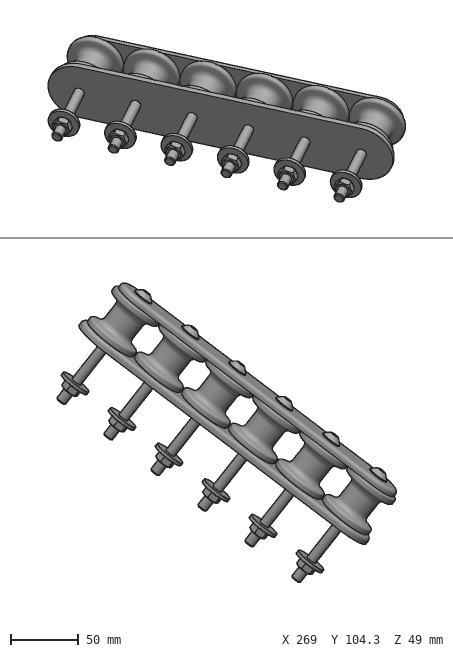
import cadquery as cq
import math

roller_count = 6
overall_length = 269.0

base_plate_height = 49.0
base_plate_thickness = 6.0
cover_plate_height = 38.0
cover_plate_thickness = 5.0
plate_edge_round = 3.0

roller_length = 34.5
roller_clearance = 0.5
flange_diameter = 43.0
hub_diameter = 26.0
flange_width = 6.5
flange_outer_round = 1.3
flange_inner_round = 2.0
flange_taper = 15.0
hub_fillet = 4.8

bolt_diameter = 8.0
bolt_projection = 53.5
bolt_end_chamfer = 0.8
head_diameter = 15.5
head_rim_height = 0.8
head_top_diameter = 6.5
head_height = 4.8
head_bulge = 0.3
washer_diameter = 24.0
washer_thickness = 2.7
washer_offset = 34.7
nut_across_flats = 13.0
nut_thickness = 6.5
nut_seat_diameter = 12.0
nut_end_diameter = 11.3
nut_bevel_angle = 30.0
nut_rotation = 10.0

pitch = (overall_length - base_plate_height) / (roller_count - 1)
roller_start = base_plate_thickness
cover_start = roller_start + roller_length + roller_clearance
head_start = cover_start + cover_plate_thickness


def section_at(y):
    """Sketch plane facing +Y, with sketch x along -X and sketch y along +Z."""
    return cq.Workplane("XZ", origin=(0, y, 0)).transformed(rotate=(0, 180, 0))


def revolve_about_bolt(profile):
    """Turn a closed (radius, y) profile around the Y axis."""
    return profile.close().revolve(360, (0, 0, 0), (0, 1, 0))


def rounded_plate(y, height, thickness):
    """Plate whose end arcs are centred on the outermost bolts, rounded on its +Y edge."""
    length = pitch * (roller_count - 1) + height
    plate = section_at(y).slot2D(length, height).extrude(thickness)
    return plate.faces(">Y").edges().fillet(plate_edge_round)


def roller():
    """Spool with two flanges blending into a narrower hub."""
    flange_radius = flange_diameter / 2
    hub_radius = hub_diameter / 2
    end_face = roller_length / 2
    taper = math.radians(flange_taper)

    taper_inner_radius = hub_radius + hub_fillet * (1 - math.sin(taper))
    taper_inner_y = end_face - flange_width
    taper_outer_radius = flange_radius - flange_inner_round * (1 - math.sin(taper))
    taper_outer_y = taper_inner_y + (taper_outer_radius - taper_inner_radius) * math.tan(taper)
    fillet_start_y = taper_inner_y - hub_fillet * math.cos(taper)
    rim_start_y = taper_outer_y + flange_inner_round * math.cos(taper)

    spool = (
        cq.Workplane("XY")
        .moveTo(0, 0)
        .lineTo(hub_radius, 0)
        .lineTo(hub_radius, fillet_start_y)
        .radiusArc((taper_inner_radius, taper_inner_y), hub_fillet)
        .lineTo(taper_outer_radius, taper_outer_y)
        .radiusArc((flange_radius, rim_start_y), -flange_inner_round)
        .lineTo(flange_radius, end_face - flange_outer_round)
        .radiusArc((flange_radius - flange_outer_round, end_face), -flange_outer_round)
        .lineTo(0, end_face)
    )
    half = revolve_about_bolt(spool)
    whole = half.union(half.mirror("XZ"))
    return whole.translate((0, roller_start + roller_length / 2, 0))


def bolt():
    """Shank with a chamfered free end and a domed head seated on the cover plate."""
    shank = section_at(-bolt_projection).circle(bolt_diameter / 2).extrude(bolt_projection + head_start)
    shank = shank.faces("<Y").chamfer(bolt_end_chamfer)
    rim_radius = head_diameter / 2
    top_radius = head_top_diameter / 2
    rim_y = head_start + head_rim_height
    top_y = head_start + head_height
    head = (
        cq.Workplane("XY")
        .moveTo(0, head_start)
        .lineTo(rim_radius, head_start)
        .lineTo(rim_radius, rim_y)
        .sagittaArc((top_radius, top_y), -head_bulge)
        .lineTo(0, top_y)
    )
    return shank.union(revolve_about_bolt(head))


def washer():
    """Flat disc between the nut and the base plate."""
    start = -washer_offset - washer_thickness
    return section_at(start).circle(washer_diameter / 2).extrude(washer_thickness)


def nut():
    """Hexagon nut whose corners are cut back by a cone at both ends."""
    corner_radius = nut_across_flats / math.sqrt(3)
    seat_radius = nut_seat_diameter / 2
    end_radius = nut_end_diameter / 2
    bevel_slope = math.tan(math.radians(nut_bevel_angle))
    seat_bevel_height = (corner_radius - seat_radius) * bevel_slope
    end_bevel_height = (corner_radius - end_radius) * bevel_slope
    seat_y = -washer_offset - washer_thickness
    end_y = seat_y - nut_thickness
    hexagon = section_at(end_y).polygon(6, 2 * corner_radius).extrude(nut_thickness)
    hexagon = hexagon.rotate((0, 0, 0), (0, 1, 0), nut_rotation)
    envelope = (
        cq.Workplane("XY")
        .moveTo(0, seat_y)
        .lineTo(seat_radius, seat_y)
        .lineTo(corner_radius, seat_y - seat_bevel_height)
        .lineTo(corner_radius, end_y + end_bevel_height)
        .lineTo(end_radius, end_y)
        .lineTo(0, end_y)
    )
    return hexagon.intersect(revolve_about_bolt(envelope))


station = roller().union(bolt()).union(washer()).union(nut())
result = rounded_plate(0, base_plate_height, base_plate_thickness)
result = result.union(rounded_plate(cover_start, cover_plate_height, cover_plate_thickness))
for index in range(roller_count):
    x = (index - (roller_count - 1) / 2) * pitch
    result = result.union(station.translate((x, 0, 0)))